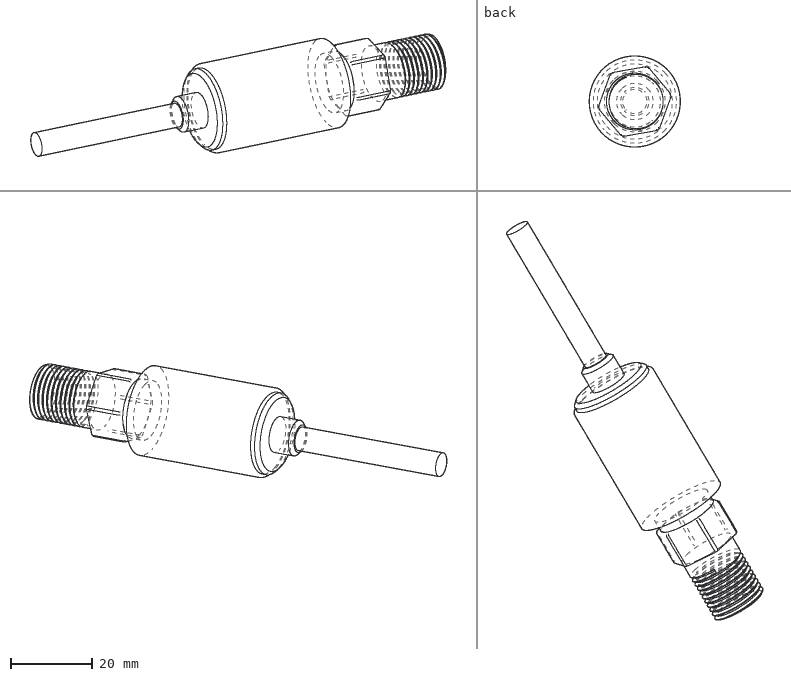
import cadquery as cq
import math

overall_length = 111.0

thread_diameter = 14.0
thread_depth = 0.7
thread_length = 12.4
thread_turns = 10
thread_pitch = thread_length / thread_turns
thread_start_angle = 90
groove_overshoot = 0.05
crest_flat = thread_pitch / 8
shank_length = 4.1

hex_across_flats = 16.0
hex_corner_diameter = 18.0
hex_length = 9.7
hex_tilt = 10.0
hex_rim_fillet = 0.7

neck_diameter = 15.0
neck_length = 3.0

body_diameter = 22.5
body_length = 34.1
body_fillet = 0.7
step_diameter = 20.5
step_length = 2.1
step_chamfer = 1.0

gland_diameter = 9.0
gland_length = 6.4
gland_chamfer = 1.0
cable_diameter = 6.0

thread_tip = overall_length / 2
thread_end = thread_tip - thread_length
hex_top = thread_end - shank_length
hex_bottom = hex_top - hex_length
body_top = hex_bottom - neck_length
body_bottom = body_top - body_length
step_bottom = body_bottom - step_length
gland_bottom = step_bottom - gland_length
cable_tip = -overall_length / 2


def cylinder(diameter, y_low, y_high):
    """Solid cylinder on the Y axis between two stations."""
    profile = cq.Workplane("XZ", origin=(0, y_low, 0)).circle(diameter / 2)
    return profile.extrude(y_low - y_high)


def make_hexagon():
    """Tilted hexagon with its six corners turned down and both end rims rounded."""
    sharp_diameter = hex_across_flats / math.cos(math.radians(30))
    blank = (
        cq.Workplane("XZ", origin=(0, hex_bottom, 0))
        .polygon(6, sharp_diameter)
        .extrude(-hex_length)
        .rotate((0, 0, 0), (0, 1, 0), hex_tilt)
    )
    turned = blank.intersect(cylinder(hex_corner_diameter, hex_bottom, hex_top))
    return turned.faces("<Y or >Y").edges().fillet(hex_rim_fillet)


def make_thread_groove():
    """Right-handed helical V groove that runs out past the threaded tip."""
    crest_radius = thread_diameter / 2
    root_radius = crest_radius - thread_depth
    half_width = (thread_pitch - crest_flat) / 2
    outer_half_width = half_width * (1 + groove_overshoot / thread_depth)
    path = cq.Wire.makeHelix(thread_pitch, thread_length + thread_pitch, crest_radius)
    groove = (
        cq.Workplane("XZ")
        .moveTo(crest_radius + groove_overshoot, -outer_half_width)
        .lineTo(root_radius, 0)
        .lineTo(crest_radius + groove_overshoot, outer_half_width)
        .close()
        .sweep(cq.Workplane(path), isFrenet=True)
    )
    along_y = groove.rotate((0, 0, 0), (1, 0, 0), -90)
    turned = along_y.rotate((0, 0, 0), (0, 1, 0), thread_start_angle)
    return turned.translate((0, thread_end + thread_pitch / 4, 0))


def make_stud():
    """Threaded stud, grooved while over-long so that the tip cuts the thread off square."""
    blank_tip = thread_tip + 2 * thread_pitch
    trim_tip = blank_tip + thread_pitch
    blank = cylinder(thread_diameter, hex_top, blank_tip)
    trim = cylinder(2 * thread_diameter, thread_tip, trim_tip)
    return blank.cut(make_thread_groove()).cut(trim)


neck = cylinder(neck_diameter, body_top, hex_bottom)
body = cylinder(body_diameter, body_bottom, body_top).faces("<Y").edges().fillet(body_fillet)
step = cylinder(step_diameter, step_bottom, body_bottom).faces("<Y").chamfer(step_chamfer)
gland = cylinder(gland_diameter, gland_bottom, step_bottom).faces("<Y").chamfer(gland_chamfer)
cable = cylinder(cable_diameter, cable_tip, gland_bottom)

result = make_stud()
for section in (make_hexagon(), neck, body, step, gland, cable):
    result = result.union(section)